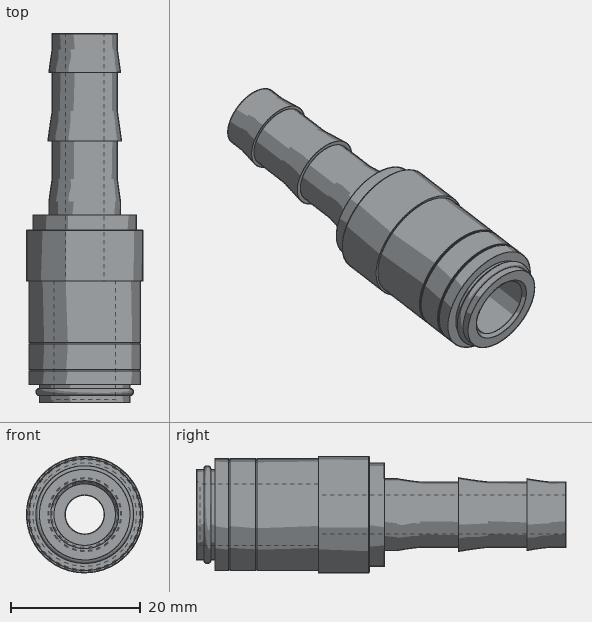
import cadquery as cq

overall_length = 57.0

nose_radius = 7.0
nose_length = 2.8
bead_center_y = 1.65
bead_section_radius = 0.55

sleeve_radius = 8.65
sleeve_end_y = 18.8
groove_start_ys = (4.9, 9.05)
groove_width = 0.25
groove_depth = 0.15
collar_radius = 9.0
collar_end_y = 26.7
collar_chamfer = 0.15

shoulder_radius = 8.0
shoulder_end_y = 29.0
neck_end_y = 31.0

tail_radius = 5.05
end_barb_radius = 5.55
middle_barb_radius = 5.7
end_barb_length = 3.5
middle_barb_length = 4.6
middle_barb_y = 40.4
last_barb_y = 51.0

barbs = (
    (neck_end_y, end_barb_length, end_barb_radius),
    (middle_barb_y, middle_barb_length, middle_barb_radius),
    (last_barb_y, end_barb_length, end_barb_radius),
)

through_radius = 3.0
socket_radius = 4.75
socket_depth = sleeve_end_y
lead_in = 0.5


def cylinder(start_y, end_y, radius):
    """Solid cylinder on the Y axis from start_y to end_y."""
    base = cq.Workplane("XZ", origin=(0, end_y, 0))
    return base.circle(radius).extrude(end_y - start_y)


def cone(start_y, end_y, start_radius, end_radius):
    """Solid cone frustum on the Y axis."""
    outline = [(0, start_y), (start_radius, start_y), (end_radius, end_y), (0, end_y)]
    return cq.Workplane("XY").polyline(outline).close().revolve(360, (0, 0), (0, 1))


def bead():
    """Round ring standing proud of the nose."""
    section = cq.Workplane("XY").center(nose_radius, bead_center_y).circle(bead_section_radius)
    return section.revolve(360, (-nose_radius, 0), (-nose_radius, 1))


def groove(start_y):
    """Ring of material to remove from the sleeve surface."""
    end_y = start_y + groove_width
    core = cylinder(start_y, end_y, sleeve_radius - groove_depth)
    return cylinder(start_y, end_y, collar_radius).cut(core)


def socket_body():
    """Nose, sleeve, collar and shoulder."""
    collar = cylinder(sleeve_end_y, collar_end_y, collar_radius).faces(">Y").chamfer(collar_chamfer)
    body = cylinder(0, nose_length, nose_radius).union(bead())
    body = body.union(cylinder(nose_length, sleeve_end_y, sleeve_radius))
    body = body.union(collar)
    body = body.union(cylinder(collar_end_y, shoulder_end_y, shoulder_radius))
    for start_y in groove_start_ys:
        body = body.cut(groove(start_y))
    return body


def barbed_tail():
    """Neck, plain tube and the barbs that taper toward the free end."""
    tail = cylinder(shoulder_end_y, overall_length, tail_radius)
    tail = tail.union(cylinder(shoulder_end_y, neck_end_y, end_barb_radius))
    for large_end_y, length, radius in barbs:
        tail = tail.union(cone(large_end_y, large_end_y + length, radius, tail_radius))
    return tail


def passage():
    """Lead-in, socket bore and through hole."""
    bores = cylinder(0, overall_length, through_radius)
    bores = bores.union(cylinder(0, socket_depth, socket_radius))
    return bores.union(cone(0, lead_in, socket_radius + lead_in, socket_radius))


result = socket_body().union(barbed_tail()).cut(passage())